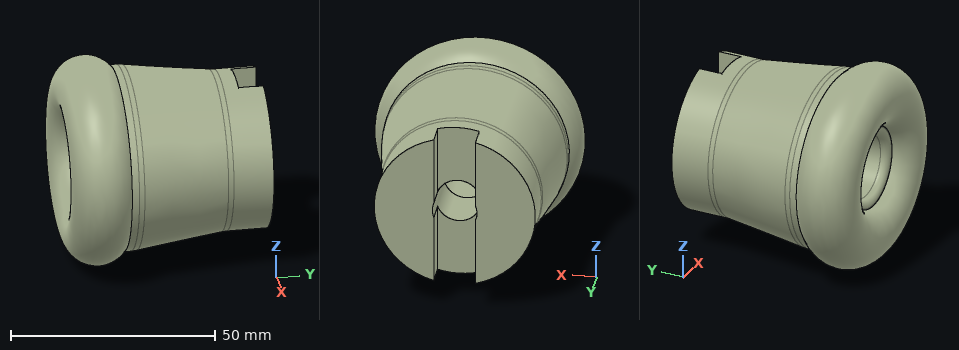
import cadquery as cq
import math

length = 50.0
rim_outer_radius = 26.0
rim_section_radius = 8.0
rim_centre_radius = rim_outer_radius - rim_section_radius
rim_centre_y = rim_section_radius

collar_radius = 23.05
flare_front_y = 16.0
flare_rear_y = 40.05
blend_length = 1.35
blend_step = 0.1
rear_radius = 19.95

lip_radius = 10.55
lip_ledge = 0.25
bore_radius = 8.25
lip_fillet_radius = lip_radius - lip_ledge - bore_radius
bore_floor_y = 31.2
hole_radius = 5.5

slot_width = 10.3
slot_depth = 6.25


def rim_offset(radius):
    """Distance along Y from the rim's centre to its section circle at a radius."""
    return math.sqrt(rim_section_radius**2 - (radius - rim_centre_radius) ** 2)


def make_body():
    """Turn half of the section, drawn as (radius, Y), into the solid body."""
    lip_y = rim_centre_y - rim_offset(lip_radius)
    rim_rear_y = rim_centre_y + rim_offset(collar_radius)
    fillet_middle = lip_fillet_radius * math.sqrt(0.5)
    fillet_centre_radius = bore_radius + lip_fillet_radius
    fillet_end_y = lip_y + lip_fillet_radius
    flare_front = (collar_radius - blend_step, flare_front_y + blend_length)
    flare_rear = (rear_radius + blend_step, flare_rear_y - blend_length)

    profile = (
        cq.Workplane("XY")
        .moveTo(lip_radius, lip_y)
        .threePointArc((rim_outer_radius, rim_centre_y), (collar_radius, rim_rear_y))
        .lineTo(collar_radius, flare_front_y)
        .lineTo(*flare_front)
        .lineTo(*flare_rear)
        .lineTo(rear_radius, flare_rear_y)
        .lineTo(rear_radius, length)
        .lineTo(hole_radius, length)
        .lineTo(hole_radius, bore_floor_y)
        .lineTo(bore_radius, bore_floor_y)
        .lineTo(bore_radius, fillet_end_y)
        .threePointArc(
            (fillet_centre_radius - fillet_middle, fillet_end_y - fillet_middle),
            (fillet_centre_radius, lip_y),
        )
        .close()
    )
    body = profile.revolve(360, (0, 0, 0), (0, 1, 0))
    return body.rotate((0, 0, 0), (0, 1, 0), 90)


def make_slot():
    """Block that cuts the slot through both sides along Z."""
    return (
        cq.Workplane("XY")
        .box(slot_width, slot_depth, 2 * rim_outer_radius)
        .translate((0, length - slot_depth / 2, 0))
    )


result = make_body().cut(make_slot())